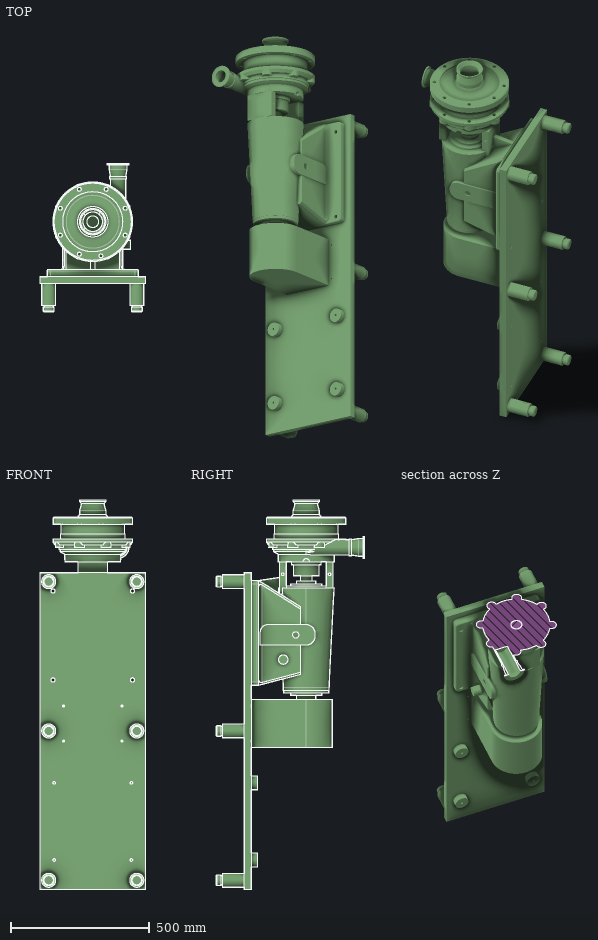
import cadquery as cq
import math


PLATE_WIDTH = 382.0
PLATE_HEIGHT = 1145.0
PLATE_THICKNESS = 25.0
PLATE_FACE_Y = -199.0
PLATE_BACK_Y = PLATE_FACE_Y - PLATE_THICKNESS

FOOT_X = 159.0
FOOT_ROWS_Z = (34.0, 573.0, 1113.0)
FOOT_RADIUS = 25.0
FOOT_LENGTH = 79.0
CAP_RADIUS = 20.0
CAP_LENGTH = 23.0
CAP_NECK_LENGTH = 5.0
CAP_NECK_RADIUS = 17.0
CAP_CHAMFER = 3.0

DRILL_END_Y = -141.0
PUMP_HOLE_X = 144.0
PUMP_HOLE_ROWS_Z = (758.0, 1079.0)
PUMP_HOLE_RADIUS = 7.0
GUARD_HOLE_X = 105.0
GUARD_HOLE_ROWS_Z = (537.0, 663.0)
GUARD_HOLE_RADIUS = 3.0
PAD_X = 140.0
PAD_ROWS_Z = (107.0, 386.0)
PAD_HOLE_RADIUS = 4.0

PAD_RADIUS = FOOT_RADIUS
PAD_HEIGHT = 23.0

GUARD_BOTTOM_Z = 513.0
GUARD_TOP_Z = 687.0
GUARD_RADIUS = 95.0

SHAFT_RADIUS = 21.0
SHAFT_ENTRY = 28.0
SHAFT_BOTTOM_Z = GUARD_TOP_Z - SHAFT_ENTRY
SHAFT_TOP_Z = 1282.0

FRAME_TOP_Z = 1090.0
FRAME_TOP_RADIUS = 101.0
FRAME_CONE_BOTTOM_Z = 730.0
FRAME_RIM_RADIUS = 83.0
FRAME_RIM_Z = 720.0
FRAME_BOTTOM_RADIUS = 82.0
FRAME_BOTTOM_Z = 710.0
FRAME_COVER_RADIUS = 56.0
FRAME_COVER_Z = 701.0
FRAME_HUB_RADIUS = 35.0
TOP_COVER_RADIUS = 73.0
TOP_COVER_Z = 1097.0
TOP_COLLAR_RADIUS = 56.0
TOP_COLLAR_Z = 1104.0
TOP_HUB_Z = 1115.0

BRACKET_HALF_WIDTH = 103.0
BRACKET_INNER_Y = -21.0
BRACKET_INNER_Z = (777.0, 1022.0)
BRACKET_OUTER_Y = -172.0
BRACKET_OUTER_Z = (738.0, 1117.0)
BRACKET_EDGE_CHAMFER = 7.0
BRACKET_ROOT_RADIUS = 13.0
FLANGE_HALF_WIDTH = 165.0
FLANGE_CORNER_RADIUS = 13.0
FLANGE_EDGE_RADIUS = 5.0

EAR_HALF_WIDTH = 108.0
EAR_Y = (-166.0, 32.0)
EAR_Z = (883.0, 958.0)
EAR_ROUND = 34.0
EAR_CORNER_ROUND = 28.0
EAR_HOLE_Y = -38.0
EAR_HOLE_RADIUS = 11.0
EAR_HOLE_DEPTH = 7.0

RIB_HALF_WIDTH = 8.0
RIB_INNER_Z = 1128.0

LEG_HALF_WIDTH = 54.0
LEG_INNER_Y = 72.0
LEG_OUTER_Y = 97.0
LOWER_LEG_BOTTOM_Z = 1068.0
LEG_HOLE_Z = 1140.0
LEG_HOLE_RADIUS = 4.0

SEAL_BOTTOM_Z = 1134.0
SEAL_RADIUS = 46.0
SEAL_RIM_Z = 1173.0
SEAL_RIM_RADIUS = 54.0
HEAD_BOTTOM_Z = 1185.0
HEAD_RADIUS = 101.0
HEAD_STEP_Z = 1211.0
BACK_DISC_Z = 1221.0
BACK_DISC_RADIUS = 118.0
CORE_BOTTOM_Z = 1230.0
CORE_RADIUS = 123.0
BACK_FLANGE_Z = 1245.0
BACK_FLANGE_RIM_Z = 1256.0
BACK_FLANGE_FOOT_RADIUS = 137.0
CASING_BOTTOM_Z = 1268.0
CASING_RADIUS = 115.0
CASING_BAND_RADIUS = 117.0
CASING_BAND_TOP_Z = 1285.0
FRONT_FLANGE_Z = 1320.0
FACE_Z = 1346.0
FACE_CHAMFER = 4.0
HEAD_FLANGE_RADIUS = 144.0
FACE_GROOVE_INNER_RADIUS = 96.0
FACE_GROOVE_OUTER_RADIUS = 108.0
FACE_GROOVE_DEPTH = 5.0

BOLT_COUNT = 8
BOLT_CIRCLE_RADIUS = 127.0
BOLT_HOLE_RADIUS = 7.0
FRONT_SKIPPED_ANGLE = 292.5
FRONT_HOLE_SHIFT = 9.0
BOSS_RADIUS = 18.0
BOSS_BOTTOM_Z = 1237.0

NOTCH_RADIUS = 11.0
NOTCH_DEPTH = 11.0

SUCTION_TOP_Z = 1408.0
SUCTION_FLARE_RADIUS = 55.0
SUCTION_BAND_RADIUS = 48.0
SUCTION_BAND_Z = (1355.0, 1369.0)
SUCTION_NECK_RADIUS = 41.0
SUCTION_NECK_Z = 1395.0
SUCTION_FERRULE_RADIUS = 48.0
SUCTION_FERRULE_Z = 1403.0
SUCTION_MOUTH_RADIUS = 44.0
SUCTION_BORE_RADIUS = 35.0
SUCTION_BORE_Z = 1260.0

DISCHARGE_X = 92.0
DISCHARGE_Z = 1237.0
DISCHARGE_END_Y = 210.0
DISCHARGE_FERRULE_Y = 204.0
DISCHARGE_FERRULE_RADIUS = 40.0
DISCHARGE_WIDE_RADIUS = 32.0
DISCHARGE_WIDE_Y = 189.0
DISCHARGE_RING_Y = (155.0, 163.0)
DISCHARGE_RING_RADIUS = 31.0
DISCHARGE_PIPE_RADIUS = 28.0
DISCHARGE_BORE_RADIUS = 23.0
DISCHARGE_BORE_DEPTH = 127.0

PLUG_RADIUS = 17.0
PLUG_END_X = 137.0
PLUG_Y = -83.0
PLUG_Z = 831.0


def disc(radius, z_from, z_to):
    """Cylinder on the pump axis."""
    return cq.Workplane("XY").workplane(offset=z_from).circle(radius).extrude(z_to - z_from)


def turned(profile):
    """Solid of revolution about Z from (radius, z) points."""
    return cq.Workplane("XZ").polyline(profile).close().revolve(360, (0, 0, 0), (0, 1, 0))


def block(x_range, y_range, z_range):
    """Box between the given limits."""
    (x0, x1), (y0, y1), (z0, z1) = x_range, y_range, z_range
    return cq.Workplane("XY").box(x1 - x0, y1 - y0, z1 - z0, centered=False).translate((x0, y0, z0))


def side_plate(outline, half_width):
    """Plate symmetric about x = 0 with an outline of (y, z) points."""
    return cq.Workplane("YZ").polyline(outline).close().extrude(half_width, both=True)


def rod_along_y(x, z, radius, y_from, y_to):
    """Cylinder parallel to Y."""
    return cq.Workplane(cq.Solid.makeCylinder(
        radius, abs(y_to - y_from), cq.Vector(x, y_from, z), cq.Vector(0, math.copysign(1, y_to - y_from), 0)
    ))


def grid(half_spacing, rows):
    """The (x, z) places of a pattern symmetric about x = 0."""
    return [(side * half_spacing, z) for side in (-1, 1) for z in rows]


def drill_plate(body, places, radius):
    """Holes parallel to Y through the plate and whatever lies on its face."""
    for x, z in places:
        body = body.cut(rod_along_y(x, z, radius, PLATE_BACK_Y, DRILL_END_Y))
    return body


def foot(x, z):
    """Round foot with a necked end cap, pointing to -Y."""
    sleeve_end = PLATE_BACK_Y - FOOT_LENGTH
    neck_end = sleeve_end - CAP_NECK_LENGTH
    cap_end = sleeve_end - CAP_LENGTH
    cap = rod_along_y(x, z, CAP_RADIUS, neck_end, cap_end).faces("<Y").chamfer(CAP_CHAMFER)
    return (
        rod_along_y(x, z, FOOT_RADIUS, PLATE_BACK_Y, sleeve_end)
        .union(rod_along_y(x, z, CAP_NECK_RADIUS, sleeve_end, neck_end))
        .union(cap)
    )


def make_base():
    """Plate with its feet and all screw holes."""
    half_width = PLATE_WIDTH / 2
    base = block((-half_width, half_width), (PLATE_BACK_Y, PLATE_FACE_Y), (0, PLATE_HEIGHT))
    for x, z in grid(FOOT_X, FOOT_ROWS_Z):
        base = base.union(foot(x, z))
    base = drill_plate(base, grid(PUMP_HOLE_X, PUMP_HOLE_ROWS_Z), PUMP_HOLE_RADIUS)
    base = drill_plate(base, grid(GUARD_HOLE_X, GUARD_HOLE_ROWS_Z), GUARD_HOLE_RADIUS)
    return drill_plate(base, grid(PAD_X, PAD_ROWS_Z), PAD_HOLE_RADIUS)


def make_pad(x, z):
    """Round motor pad with a through hole."""
    top = PLATE_FACE_Y + PAD_HEIGHT
    pad = rod_along_y(x, z, PAD_RADIUS, PLATE_FACE_Y, top)
    return pad.cut(rod_along_y(x, z, PAD_HOLE_RADIUS, PLATE_FACE_Y, top))


def make_shaft():
    """Plain shaft from the guard to the suction bore."""
    return disc(SHAFT_RADIUS, SHAFT_BOTTOM_Z, SHAFT_TOP_Z)


def make_guard():
    """Round-topped block on the plate, recessed for the shaft end."""
    hood = (
        cq.Workplane("XY")
        .workplane(offset=GUARD_BOTTOM_Z)
        .moveTo(-GUARD_RADIUS, PLATE_FACE_Y)
        .lineTo(-GUARD_RADIUS, 0)
        .threePointArc((0, GUARD_RADIUS), (GUARD_RADIUS, 0))
        .lineTo(GUARD_RADIUS, PLATE_FACE_Y)
        .close()
        .extrude(GUARD_TOP_Z - GUARD_BOTTOM_Z)
    )
    return hood.cut(make_shaft())


def frame_barrel():
    """Tapered bearing barrel with stepped end covers."""
    return turned([
        (0, GUARD_TOP_Z),
        (FRAME_HUB_RADIUS, GUARD_TOP_Z),
        (FRAME_HUB_RADIUS, FRAME_COVER_Z),
        (FRAME_COVER_RADIUS, FRAME_COVER_Z),
        (FRAME_COVER_RADIUS, FRAME_BOTTOM_Z),
        (FRAME_BOTTOM_RADIUS, FRAME_BOTTOM_Z),
        (FRAME_BOTTOM_RADIUS, FRAME_RIM_Z),
        (FRAME_RIM_RADIUS, FRAME_RIM_Z),
        (FRAME_RIM_RADIUS, FRAME_CONE_BOTTOM_Z),
        (FRAME_TOP_RADIUS, FRAME_TOP_Z),
        (TOP_COVER_RADIUS, FRAME_TOP_Z),
        (TOP_COVER_RADIUS, TOP_COVER_Z),
        (TOP_COLLAR_RADIUS, TOP_COVER_Z),
        (TOP_COLLAR_RADIUS, TOP_COLLAR_Z),
        (FRAME_HUB_RADIUS, TOP_COLLAR_Z),
        (FRAME_HUB_RADIUS, TOP_HUB_Z),
        (0, TOP_HUB_Z),
    ])


def frame_bracket():
    """Web that carries the barrel, and its bolted foot flange."""
    inner_bottom, inner_top = BRACKET_INNER_Z
    outer_bottom, outer_top = BRACKET_OUTER_Z
    web = side_plate([
        (BRACKET_INNER_Y, inner_bottom),
        (BRACKET_INNER_Y, inner_top),
        (BRACKET_OUTER_Y, outer_top),
        (BRACKET_OUTER_Y, outer_bottom),
    ], BRACKET_HALF_WIDTH)
    web = web.faces("<X or >X").edges("not |Z").chamfer(BRACKET_EDGE_CHAMFER)
    flange = block((-FLANGE_HALF_WIDTH, FLANGE_HALF_WIDTH), (PLATE_FACE_Y, BRACKET_OUTER_Y), BRACKET_OUTER_Z)
    flange = flange.edges("|Y").fillet(FLANGE_CORNER_RADIUS)
    flange = flange.faces(">Y").edges().fillet(FLANGE_EDGE_RADIUS)
    flange = drill_plate(flange, grid(PUMP_HOLE_X, PUMP_HOLE_ROWS_Z), PUMP_HOLE_RADIUS)
    bracket = web.union(flange)
    roots = bracket.edges("|Z").edges(cq.selectors.BoxSelector(
        (-EAR_HALF_WIDTH, BRACKET_OUTER_Y - FLANGE_EDGE_RADIUS / 2, 0),
        (EAR_HALF_WIDTH, BRACKET_OUTER_Y + FLANGE_EDGE_RADIUS / 2, PLATE_HEIGHT),
    ))
    return roots.fillet(BRACKET_ROOT_RADIUS)


def frame_ears():
    """Round-ended ears across the frame, with a blind hole in each side."""
    ears = block((-EAR_HALF_WIDTH, EAR_HALF_WIDTH), EAR_Y, EAR_Z)
    ears = ears.faces(">Y").edges("|X").fillet(EAR_ROUND)
    ears = ears.faces("<Y").edges("|X and >Z").fillet(EAR_CORNER_ROUND)
    hole_z = sum(EAR_Z) / 2
    for side in (-1, 1):
        start = cq.Vector(side * EAR_HALF_WIDTH, EAR_HOLE_Y, hole_z)
        ears = ears.cut(cq.Workplane(
            cq.Solid.makeCylinder(EAR_HOLE_RADIUS, EAR_HOLE_DEPTH, start, cq.Vector(-side, 0, 0))
        ))
    return ears


def frame_rib():
    """Central rib between the lower leg and the foot flange."""
    rib_bottom = BRACKET_INNER_Z[1]
    return side_plate([
        (-LEG_INNER_Y, rib_bottom),
        (-LEG_OUTER_Y, RIB_INNER_Z),
        (BRACKET_OUTER_Y, BRACKET_OUTER_Z[1]),
        (BRACKET_OUTER_Y, rib_bottom),
    ], RIB_HALF_WIDTH)


def leg(side):
    """Flat leg that joins the frame to the pump head, with a cross hole."""
    y_range = sorted((side * LEG_INNER_Y, side * LEG_OUTER_Y))
    bottom_z = FRAME_TOP_Z if side > 0 else LOWER_LEG_BOTTOM_Z
    z_range = (bottom_z, HEAD_BOTTOM_Z)
    body = block((-LEG_HALF_WIDTH, LEG_HALF_WIDTH), y_range, z_range)
    hole = cq.Workplane("YZ").center(sum(y_range) / 2, LEG_HOLE_Z).circle(LEG_HOLE_RADIUS)
    return body.cut(hole.extrude(LEG_HALF_WIDTH, both=True))


def bolt_angles():
    """Bolt directions in degrees around the pump axis, half a pitch off the X axis."""
    pitch = 360 / BOLT_COUNT
    return [(i + 0.5) * pitch for i in range(BOLT_COUNT)]


def front_hole_angles():
    """As the bolt directions, but with one front flange hole moved off the regular pitch."""
    regular = [angle for angle in bolt_angles() if angle != FRONT_SKIPPED_ANGLE]
    return regular + [FRONT_SKIPPED_ANGLE - FRONT_HOLE_SHIFT]


def on_bolt_circle(body, angle):
    """Copy of a body from the pump axis to the bolt circle."""
    return body.translate((BOLT_CIRCLE_RADIUS, 0, 0)).rotate((0, 0, 0), (0, 0, 1), angle)


def pump_casing():
    """Turned pump head with two bolted flanges and the suction nozzle."""
    band_bottom, band_top = SUCTION_BAND_Z
    casing = turned([
        (0, SEAL_BOTTOM_Z),
        (SEAL_RADIUS, SEAL_BOTTOM_Z),
        (SEAL_RADIUS, SEAL_RIM_Z),
        (SEAL_RIM_RADIUS, SEAL_RIM_Z),
        (SEAL_RIM_RADIUS, HEAD_BOTTOM_Z),
        (HEAD_RADIUS, HEAD_BOTTOM_Z),
        (HEAD_RADIUS, HEAD_STEP_Z),
        (BACK_DISC_RADIUS, BACK_DISC_Z),
        (BACK_DISC_RADIUS, CORE_BOTTOM_Z),
        (CORE_RADIUS, CORE_BOTTOM_Z),
        (CORE_RADIUS, BACK_FLANGE_Z),
        (BACK_FLANGE_FOOT_RADIUS, BACK_FLANGE_Z),
        (HEAD_FLANGE_RADIUS, BACK_FLANGE_RIM_Z),
        (HEAD_FLANGE_RADIUS, CASING_BOTTOM_Z),
        (CASING_BAND_RADIUS, CASING_BOTTOM_Z),
        (CASING_BAND_RADIUS, CASING_BAND_TOP_Z),
        (CASING_RADIUS, CASING_BAND_TOP_Z),
        (CASING_RADIUS, FRONT_FLANGE_Z),
        (HEAD_FLANGE_RADIUS, FRONT_FLANGE_Z),
        (HEAD_FLANGE_RADIUS, FACE_Z - FACE_CHAMFER),
        (HEAD_FLANGE_RADIUS - FACE_CHAMFER, FACE_Z),
        (FACE_GROOVE_OUTER_RADIUS, FACE_Z),
        (FACE_GROOVE_OUTER_RADIUS, FACE_Z - FACE_GROOVE_DEPTH),
        (FACE_GROOVE_INNER_RADIUS, FACE_Z - FACE_GROOVE_DEPTH),
        (SUCTION_FLARE_RADIUS, FACE_Z),
        (SUCTION_BAND_RADIUS, band_bottom),
        (SUCTION_BAND_RADIUS, band_top),
        (SUCTION_NECK_RADIUS, SUCTION_NECK_Z),
        (SUCTION_FERRULE_RADIUS, SUCTION_FERRULE_Z),
        (SUCTION_FERRULE_RADIUS, SUCTION_TOP_Z),
        (0, SUCTION_TOP_Z),
    ])
    boss = disc(BOSS_RADIUS, BOSS_BOTTOM_Z, BACK_FLANGE_RIM_Z)
    back_hole = disc(BOLT_HOLE_RADIUS, BACK_FLANGE_RIM_Z, CASING_BOTTOM_Z)
    front_hole = disc(BOLT_HOLE_RADIUS, FRONT_FLANGE_Z, FACE_Z)
    for angle in bolt_angles():
        casing = casing.union(on_bolt_circle(boss, angle))
        casing = casing.cut(on_bolt_circle(back_hole, angle))
    for angle in front_hole_angles():
        casing = casing.cut(on_bolt_circle(front_hole, angle))
    return casing


def head_notches():
    """Cutters for half-round notches in the lower rim of the head, on the -X and +X sides."""
    notch = cq.Workplane("YZ").center(0, HEAD_BOTTOM_Z).circle(NOTCH_RADIUS).extrude(NOTCH_DEPTH)
    right = notch.translate((HEAD_RADIUS - NOTCH_DEPTH, 0, 0))
    return right.union(right.mirror("YZ"))


def suction_bore():
    """Straight bore down past the shaft end, with a conical mouth."""
    return turned([
        (0, SUCTION_BORE_Z),
        (SUCTION_BORE_RADIUS, SUCTION_BORE_Z),
        (SUCTION_BORE_RADIUS, SUCTION_NECK_Z),
        (SUCTION_MOUTH_RADIUS, SUCTION_TOP_Z),
        (0, SUCTION_TOP_Z),
    ])


def discharge_nozzle():
    """Offset outlet pipe with a ring, a widening end and a ferrule."""
    ring_start, ring_end = DISCHARGE_RING_Y
    profile = [
        (0, 0),
        (DISCHARGE_PIPE_RADIUS, 0),
        (DISCHARGE_PIPE_RADIUS, ring_start),
        (DISCHARGE_RING_RADIUS, ring_start),
        (DISCHARGE_RING_RADIUS, ring_end),
        (DISCHARGE_PIPE_RADIUS, ring_end),
        (DISCHARGE_WIDE_RADIUS, DISCHARGE_WIDE_Y),
        (DISCHARGE_WIDE_RADIUS, DISCHARGE_FERRULE_Y),
        (DISCHARGE_FERRULE_RADIUS, DISCHARGE_FERRULE_Y),
        (DISCHARGE_FERRULE_RADIUS, DISCHARGE_END_Y),
        (0, DISCHARGE_END_Y),
    ]
    nozzle = cq.Workplane("XY").polyline(profile).close().revolve(360, (0, 0, 0), (0, 1, 0))
    return nozzle.translate((DISCHARGE_X, 0, DISCHARGE_Z))


def discharge_bore():
    """Blind bore of the outlet."""
    bottom_y = DISCHARGE_END_Y - DISCHARGE_BORE_DEPTH
    return rod_along_y(DISCHARGE_X, DISCHARGE_Z, DISCHARGE_BORE_RADIUS, DISCHARGE_END_Y, bottom_y)


def oil_plug():
    """Round plug parallel to X on the side of the bracket web."""
    plug = cq.Workplane("YZ").center(PLUG_Y, PLUG_Z).circle(PLUG_RADIUS)
    return plug.extrude(PLUG_END_X)


def make_pump():
    """Bearing frame, legs and pump head in one piece, bored for the shaft."""
    pump = frame_barrel().union(frame_bracket()).union(frame_ears()).union(frame_rib())
    pump = pump.union(oil_plug())
    for side in (-1, 1):
        pump = pump.union(leg(side))
    pump = pump.union(pump_casing()).union(discharge_nozzle())
    pump = pump.cut(head_notches())
    return pump.cut(suction_bore()).cut(discharge_bore()).cut(make_shaft())


base = make_base()
pads = [make_pad(x, z) for x, z in grid(PAD_X, PAD_ROWS_Z)]
guard = make_guard()
shaft = make_shaft()
pump = make_pump()

result = cq.Compound.makeCompound([
    base.val(),
    *[pad.val() for pad in pads],
    guard.val(),
    shaft.val(),
    pump.val(),
])